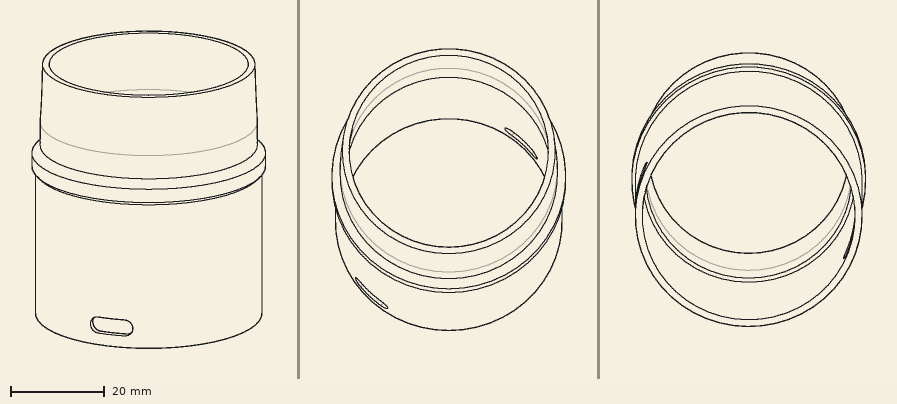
import cadquery as cq

height = 56.0

sleeve_diameter = 48.5
collar_diameter = 50.0
neck_diameter = 46.5
mouth_diameter = 45.5

sleeve_bore = 45.5
neck_bore = 44.0
mouth_bore = 42.55

collar_bottom = 32.3
collar_chamfer = (collar_diameter - sleeve_diameter) / 2
collar_band_top = 36.05
shoulder_rise = (collar_diameter - neck_diameter) / 2
neck_bottom = collar_band_top + shoulder_rise
taper_bottom = 43.05
bore_cone_top = 35.85
bore_cone_rise = (sleeve_bore - neck_bore) / 2

slot_length = 9.6
slot_height = 3.6
slot_center = 4.4


def outer_body():
    """Revolved outside shape: sleeve, chamfered collar, neck and tapered mouth."""
    profile = [
        (0, 0),
        (sleeve_diameter / 2, 0),
        (sleeve_diameter / 2, collar_bottom),
        (collar_diameter / 2, collar_bottom + collar_chamfer),
        (collar_diameter / 2, collar_band_top),
        (neck_diameter / 2, neck_bottom),
        (neck_diameter / 2, taper_bottom),
        (mouth_diameter / 2, height),
        (0, height),
    ]
    return cq.Workplane("XZ").polyline(profile).close().revolve(360, (0, 0), (0, 1))


def bore():
    """Revolved inside shape: sleeve bore, 45 degree cone to the neck bore, tapered mouth."""
    profile = [
        (0, 0),
        (sleeve_bore / 2, 0),
        (sleeve_bore / 2, bore_cone_top - bore_cone_rise),
        (neck_bore / 2, bore_cone_top),
        (neck_bore / 2, taper_bottom),
        (mouth_bore / 2, height),
        (0, height),
    ]
    return cq.Workplane("XZ").polyline(profile).close().revolve(360, (0, 0), (0, 1))


def slot_cutter():
    """Round-ended bar along Y that opens both walls."""
    return (
        cq.Workplane("XZ")
        .center(0, slot_center)
        .slot2D(slot_length, slot_height)
        .extrude(collar_diameter / 2, both=True)
    )


result = outer_body().cut(bore()).cut(slot_cutter())